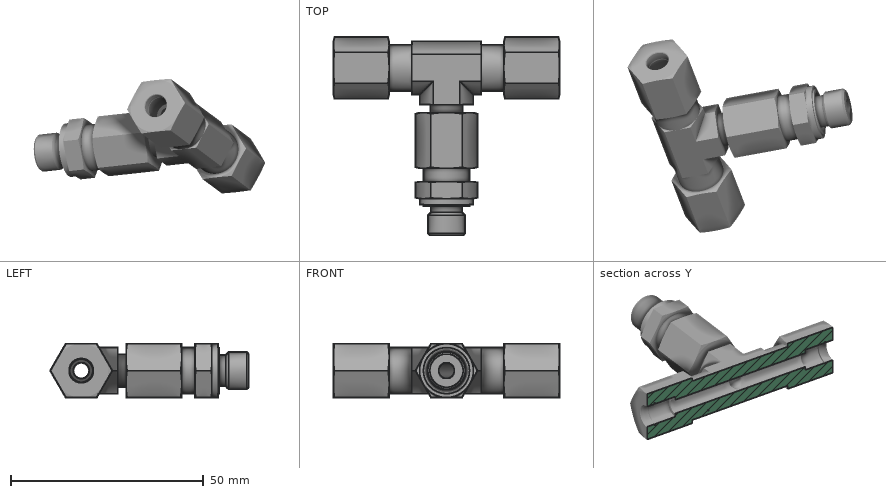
import cadquery as cq
import math

overall_length = 58.8
body_length = 18.0
body_flats = 12.05
collar_diameter = 12.05

nut_flats = 14.0
nut_length = 14.45
nut_chamfer_angle = 15.0
corner_clearance = 0.6

body_branch_end = 9.5
branch_nut_start = 11.65
stud_hex_start = 29.6
stud_hex_end = 34.0
flange_end = 35.9
thread_start = 37.6
branch_end = 43.6
branch_nut_end = branch_nut_start + nut_length

pipe_diameter = 8.5
relief_diameter = 8.25
thread_diameter = 9.7
stud_hex_chamfer_angle = 10.0

lip_height = 0.35
lip_diameter = 12.0
recess_diameter = 10.05
recess_depth = 1.65

thread_back_chamfer = (thread_diameter - relief_diameter) / 2
thread_tip_chamfer = 0.5

flow_bore = 4.05
tube_socket = 6.0
tube_socket_depth = 8.8
mouth_chamfer = 0.2
groove_position = 2.45
groove_size = 0.35


def across_corners(flats):
    return flats / math.cos(math.radians(30))


def cylinder(plane, start, end, diameter):
    return cq.Workplane(plane).workplane(offset=start).circle(diameter / 2).extrude(end - start)


def hexagon(plane, start, end, flats):
    """Hexagonal bar with flats facing up and down."""
    return cq.Workplane(plane).workplane(offset=start).polygon(6, across_corners(flats)).extrude(end - start)


def chamfered_hexagon(plane, start, end, flats, angle):
    """Hexagonal bar whose corners are turned down to the flats at both ends."""
    flat_radius = flats / 2
    outer_radius = across_corners(flats) / 2 + corner_clearance
    chamfer_length = (outer_radius - flat_radius) * math.tan(math.radians(angle))
    turned_blank = (
        cq.Workplane(plane)
        .workplane(offset=start)
        .circle(outer_radius)
        .extrude(end - start)
        .faces("%PLANE")
        .chamfer(chamfer_length, outer_radius - flat_radius)
    )
    return hexagon(plane, start, end, flats).intersect(turned_blank)


def make_run():
    half_length = overall_length / 2
    run = hexagon("YZ", -body_length / 2, body_length / 2, body_flats)
    run = run.union(cylinder("YZ", nut_length - half_length, half_length - nut_length, collar_diameter))
    for nut_start in (-half_length, half_length - nut_length):
        nut = chamfered_hexagon("YZ", nut_start, nut_start + nut_length, nut_flats, nut_chamfer_angle)
        run = run.union(nut)
    return run


def make_flange():
    """Round flange with a raised sealing lip and a recessed face."""
    flange = cylinder("XZ", stud_hex_end, flange_end - lip_height, nut_flats)
    flange = flange.union(cylinder("XZ", flange_end - lip_height, flange_end, lip_diameter))
    return flange.cut(cylinder("XZ", flange_end - recess_depth, flange_end, recess_diameter))


def make_thread():
    thread = cylinder("XZ", thread_start, branch_end, thread_diameter)
    thread = thread.faces("<Y").chamfer(thread_tip_chamfer)
    return thread.faces(">Y").chamfer(thread_back_chamfer)


def make_branch():
    branch = hexagon("XZ", 0, body_branch_end, body_flats)
    branch = branch.union(cylinder("XZ", body_branch_end, branch_nut_start, pipe_diameter))
    branch = branch.union(
        chamfered_hexagon("XZ", branch_nut_start, branch_nut_end, nut_flats, nut_chamfer_angle)
    )
    branch = branch.union(cylinder("XZ", branch_nut_end, stud_hex_start, collar_diameter))
    branch = branch.union(
        chamfered_hexagon("XZ", stud_hex_start, stud_hex_end, nut_flats, stud_hex_chamfer_angle)
    )
    branch = branch.union(make_flange())
    branch = branch.union(cylinder("XZ", stud_hex_end, thread_start, relief_diameter))
    return branch.union(make_thread())


def socket_chamfer(side, depth, size):
    """Cutter that widens the tube socket at a given depth and narrows back to it at 45 degrees."""
    return (
        cq.Workplane("YZ")
        .workplane(offset=side * (overall_length / 2 - depth))
        .circle(tube_socket / 2 + size)
        .extrude(-side * size, taper=45)
    )


def make_bores():
    half_length = overall_length / 2
    bores = cylinder("YZ", -half_length, half_length, flow_bore)
    bores = bores.union(cylinder("XZ", 0, branch_end, flow_bore))
    for side in (-1, 1):
        mouth = side * half_length
        socket_end = mouth - side * tube_socket_depth
        bores = bores.union(cylinder("YZ", mouth, socket_end, tube_socket))
        bores = bores.union(socket_chamfer(side, 0, mouth_chamfer))
        bores = bores.union(socket_chamfer(side, groove_position, groove_size))
    return bores


result = make_run().union(make_branch()).cut(make_bores())